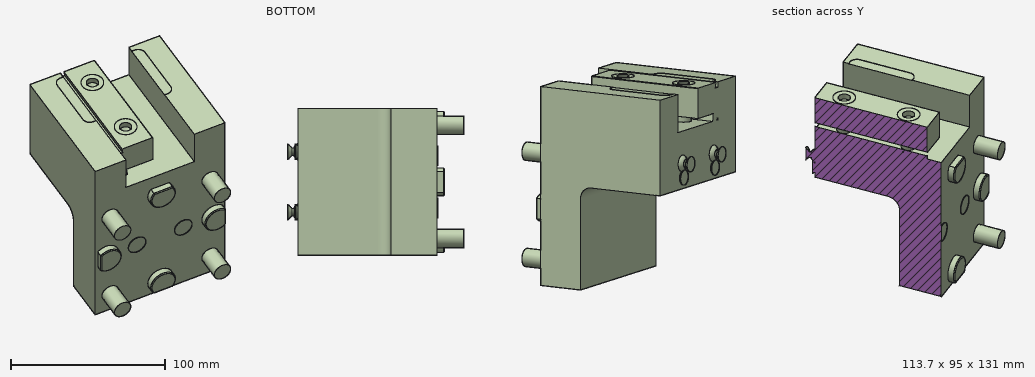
import cadquery as cq
import math

BODY_LENGTH = 90.0
BODY_WIDTH = 95.0
BODY_HEIGHT = 131.0
STEP_HEIGHT = 68.0
LEG_START = 60.0
STEP_FILLET = 8.0

SLOT_WIDTH = 50.0
SLOT_DEPTH = 25.0
SLOT_WALL = SLOT_WIDTH / 2
SLOT_FLOOR = BODY_HEIGHT - SLOT_DEPTH

CLAMP_LENGTH = 80.0
CLAMP_THICKNESS = 20.0
CLAMP_UNDERSIDE = BODY_HEIGHT - CLAMP_THICKNESS
CLAMP_CHAMFER = 0.4
FOOT_INNER_TOP = -19.3
FOOT_INNER_BOTTOM = -18.5
FOOT_CHAMFER = 1.2
RELIEF_WIDTH = 2.5
RELIEF_DEPTH = 3.5
RELIEF_UNDERCUT = 0.5

SCREW_X = (17.3, 63.0)
SCREW_Y = -10.9
SHANK_RADIUS = 5.0
SOCKET_RADIUS = 3.9
SOCKET_DEPTH = 4.0
SOCKET_TIP_ANGLE = 118.0
HEAD_RADIUS = 7.3
HEAD_INSET = 0.1

RECESS_START = 3.9
RECESS_END = 49.1
RECESS_REACH = 7.1
RECESS_CORNER = 5.0
RECESS_DEPTH = 0.3

NOZZLE_Y = 19.5
NOZZLE_Z = 84.9
BALL_RADIUS = 5.9
BALL_INSET = 2.5
BALL_REACH = 2.6
NECK_RADIUS = 2.5
FLANGE_RADIUS = 5.0
FLANGE_RIM = 0.3
NOZZLE_REACH = 6.5
ROOT_DEPTH = 2.9
PLUG_Z = 75.6
PLUG_REACH = 1.7
PLUG_RIM = 0.5

MOUNT_Z = 49.9
PIN_RADIUS = 6.0
PIN_LENGTH = 17.2
PIN_OFFSET_Y = 36.5
PIN_OFFSET_Z = 35.0
KEY_RADIUS = 9.0
KEY_HEIGHT = 4.7
KEY_OFFSET = 39.5
KEY_FLAT = 6.0
KEY_CHAMFER = 0.7
SEAL_RADIUS = 6.4
SEAL_HEIGHT = 0.4
SEAL_OFFSET = 16.9


def body():
    outline = [
        (0, BODY_HEIGHT),
        (BODY_LENGTH, BODY_HEIGHT),
        (BODY_LENGTH, 0),
        (LEG_START, 0),
        (LEG_START, STEP_HEIGHT),
        (0, STEP_HEIGHT),
    ]
    block = cq.Workplane("XZ").polyline(outline).close().extrude(BODY_WIDTH / 2, both=True)
    inner_corner = cq.selectors.NearestToPointSelector((LEG_START, 0, STEP_HEIGHT))
    block = block.edges(inner_corner).fillet(STEP_FILLET)
    slot = cq.Workplane("XY").box(BODY_LENGTH, SLOT_WIDTH, SLOT_DEPTH, centered=(False, True, False))
    return block.cut(slot.translate((0, 0, SLOT_FLOOR)))


def top_recesses():
    length = RECESS_END - RECESS_START
    recess = (
        cq.Workplane("XY")
        .box(length, 2 * (SLOT_WALL + RECESS_REACH), RECESS_DEPTH, centered=(False, True, False))
        .edges("|Z")
        .fillet(RECESS_CORNER)
    )
    return recess.translate((RECESS_START, 0, BODY_HEIGHT - RECESS_DEPTH))


def clamp():
    relief_floor = BODY_HEIGHT - RELIEF_DEPTH
    relief_side = RELIEF_WIDTH - SLOT_WALL
    outline = [
        (-CLAMP_CHAMFER, BODY_HEIGHT),
        (0, BODY_HEIGHT - CLAMP_CHAMFER),
        (0, CLAMP_UNDERSIDE),
        (FOOT_INNER_TOP, CLAMP_UNDERSIDE),
        (FOOT_INNER_BOTTOM, SLOT_FLOOR),
        (FOOT_CHAMFER - SLOT_WALL, SLOT_FLOOR),
        (-SLOT_WALL, SLOT_FLOOR + FOOT_CHAMFER),
        (-SLOT_WALL, relief_floor),
        (relief_side + RELIEF_UNDERCUT, relief_floor),
        (relief_side, BODY_HEIGHT),
    ]
    return cq.Workplane("YZ").polyline(outline).close().extrude(CLAMP_LENGTH)


def screw_shank(x):
    shank_length = CLAMP_UNDERSIDE - SLOT_FLOOR
    return cq.Workplane("XY", origin=(x, SCREW_Y, SLOT_FLOOR)).circle(SHANK_RADIUS).extrude(shank_length)


def screw_socket(x):
    """Drill-pointed socket with the screw head set just below the top of the bar."""
    tip_depth = SOCKET_RADIUS / math.tan(math.radians(SOCKET_TIP_ANGLE / 2))
    profile = [
        (0, 0),
        (HEAD_RADIUS, 0),
        (HEAD_RADIUS, -HEAD_INSET),
        (SOCKET_RADIUS, -HEAD_INSET),
        (SOCKET_RADIUS, -SOCKET_DEPTH),
        (0, -SOCKET_DEPTH - tip_depth),
    ]
    socket = cq.Workplane("XZ").polyline(profile).close().revolve(360, (0, 0), (0, 1))
    return socket.translate((x, SCREW_Y, BODY_HEIGHT))


def spool_end(reach, rim):
    """Flange with a 45 degree cone down to the neck, its face at X = -reach."""
    cone_end = rim - reach + FLANGE_RADIUS - NECK_RADIUS
    profile = [
        (-reach, 0),
        (-reach, FLANGE_RADIUS),
        (rim - reach, FLANGE_RADIUS),
        (cone_end, NECK_RADIUS),
        (ROOT_DEPTH, NECK_RADIUS),
        (ROOT_DEPTH, 0),
    ]
    return cq.Workplane("XY").polyline(profile).close().revolve(360, (0, 0), (1, 0))


def nozzle(y):
    """Ball nozzle cut flat at its neck, with a sunken plug below it."""
    ball_tip = cq.Workplane("YZ", origin=(-BALL_REACH, 0, 0)).circle(BALL_RADIUS).extrude(-BALL_RADIUS)
    ball = cq.Workplane("XY").sphere(BALL_RADIUS).translate((BALL_INSET, 0, 0)).cut(ball_tip)
    upper = spool_end(NOZZLE_REACH, FLANGE_RIM).union(ball).translate((0, y, NOZZLE_Z))
    plug = spool_end(PLUG_REACH, PLUG_RIM).translate((0, y, PLUG_Z))
    return upper.union(plug)


def face_disc(radius, height, y, z):
    """Disc standing on the +X face."""
    return cq.Workplane("YZ", origin=(BODY_LENGTH, y, z)).circle(radius).extrude(height)


def key(angle):
    """Round key with an outward flat, turned about the mounting axis."""
    flat_cut = (
        cq.Workplane("XY")
        .box(KEY_HEIGHT, KEY_RADIUS, 2 * KEY_RADIUS, centered=(False, False, True))
        .translate((BODY_LENGTH, KEY_OFFSET + KEY_FLAT, 0))
    )
    blank = face_disc(KEY_RADIUS, KEY_HEIGHT, KEY_OFFSET, 0).cut(flat_cut)
    blank = blank.faces(">X").edges().chamfer(KEY_CHAMFER)
    return blank.rotate((0, 0, 0), (1, 0, 0), angle).translate((0, 0, MOUNT_Z))


result = body().cut(top_recesses()).union(clamp())

for screw_x in SCREW_X:
    result = result.union(screw_shank(screw_x)).cut(screw_socket(screw_x))

for side in (-1, 1):
    result = result.union(nozzle(side * NOZZLE_Y))
    result = result.union(face_disc(SEAL_RADIUS, SEAL_HEIGHT, side * SEAL_OFFSET, MOUNT_Z))
    for level in (-1, 1):
        pin_z = MOUNT_Z + level * PIN_OFFSET_Z
        result = result.union(face_disc(PIN_RADIUS, PIN_LENGTH, side * PIN_OFFSET_Y, pin_z))

for key_angle in (0, 90, 180, 270):
    result = result.union(key(key_angle))